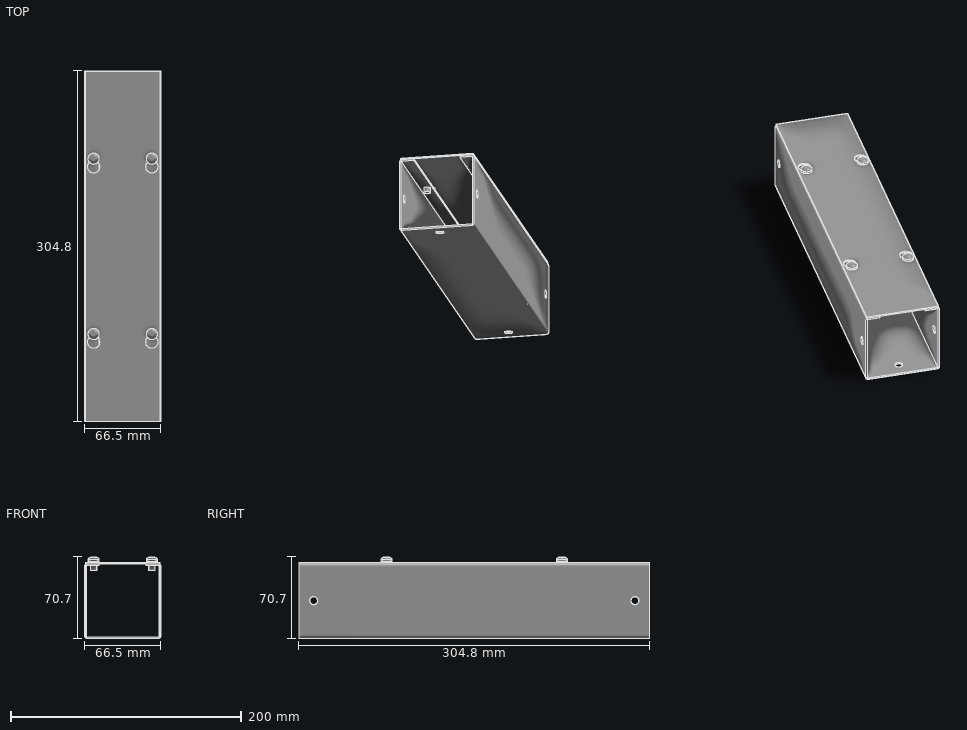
import cadquery as cq

length = 304.8
housing_width = 66.5
housing_height = 65.0
sheet = 1.5
bend_radius = 2.5
lip_width = 12.8
overall_height = 70.7

cover_width = 64.5
cover_thickness = 1.2

end_hole_diameter = 6.7
end_hole_from_end = 12.8
end_hole_height = 33.0

screw_x = 25.3
screw_y = 76.2
shank_diameter = 5.8
shank_end_height = 59.0
head_diameter = 9.8
head_gap = 1.0
crown_height = 1.8
crown_top_diameter = 4.3

entry_hole_diameter = 10.7
entry_hole_offset = 7.0

cover_top = housing_height + cover_thickness
head_bottom = cover_top + head_gap
crown_bottom = overall_height - crown_height
screw_places = [(x, y) for x in (-screw_x, screw_x) for y in (-screw_y, screw_y)]
end_hole_places = [side * (length / 2 - end_hole_from_end) for side in (-1, 1)]


def make_housing():
    """Folded channel with two inward lips, end holes, and screw holes in the lips.

    Its long edges are rounded outside and square inside.
    """
    block = cq.Workplane("XY").box(housing_width, length, housing_height, centered=(True, True, False))
    outside = block.edges("|Y").fillet(bend_radius)
    inside = cq.Workplane("XY", origin=(0, 0, sheet)).box(
        housing_width - 2 * sheet, length, housing_height - 2 * sheet, centered=(True, True, False)
    )
    mouth = cq.Workplane("XY", origin=(0, 0, housing_height - sheet)).box(
        housing_width - 2 * lip_width, length, sheet, centered=(True, True, False)
    )
    housing = outside.cut(inside).cut(mouth)

    for y in end_hole_places:
        wall_drill = (
            cq.Workplane("YZ", origin=(-housing_width / 2, y, end_hole_height))
            .circle(end_hole_diameter / 2)
            .extrude(housing_width)
        )
        floor_drill = (
            cq.Workplane("XY", origin=(0, y, 0))
            .circle(end_hole_diameter / 2)
            .extrude(sheet)
        )
        housing = housing.cut(wall_drill).cut(floor_drill)

    lip_drills = (
        cq.Workplane("XY", origin=(0, 0, housing_height - sheet))
        .pushPoints(screw_places)
        .circle(shank_diameter / 2)
        .extrude(sheet)
    )
    return housing.cut(lip_drills)


def make_cover():
    """Flat cover with a keyhole at each screw: a round entry and a slot as wide as the shank."""
    cover = (
        cq.Workplane("XY", origin=(0, 0, housing_height))
        .rect(cover_width, length)
        .extrude(cover_thickness)
    )
    for x, y in screw_places:
        plane = cq.Workplane("XY", origin=(x, y, housing_height))
        seat = plane.circle(shank_diameter / 2).extrude(cover_thickness)
        neck = (
            plane.center(0, -entry_hole_offset / 2)
            .rect(shank_diameter, entry_hole_offset)
            .extrude(cover_thickness)
        )
        entry = (
            plane.center(0, -entry_hole_offset)
            .circle(entry_hole_diameter / 2)
            .extrude(cover_thickness)
        )
        cover = cover.cut(seat).cut(neck).cut(entry)
    return cover


def make_screw(x, y):
    """Screw with a plain shank and a cylindrical head under a rounded crown with a flat top."""
    shank_radius = shank_diameter / 2
    head_radius = head_diameter / 2
    flat_radius = crown_top_diameter / 2
    profile = (
        cq.Workplane("XZ")
        .moveTo(0, overall_height)
        .lineTo(flat_radius, overall_height)
        .tangentArcPoint((head_radius, crown_bottom), relative=False)
        .lineTo(head_radius, head_bottom)
        .lineTo(shank_radius, head_bottom)
        .lineTo(shank_radius, shank_end_height)
        .lineTo(0, shank_end_height)
        .close()
    )
    return profile.revolve(360, (0, 0, 0), (0, 1, 0)).translate((x, y, 0))


housing = make_housing()
cover = make_cover()
screws = [make_screw(x, y) for x, y in screw_places]

result = cq.Compound.makeCompound([housing.val(), cover.val(), *[screw.val() for screw in screws]])